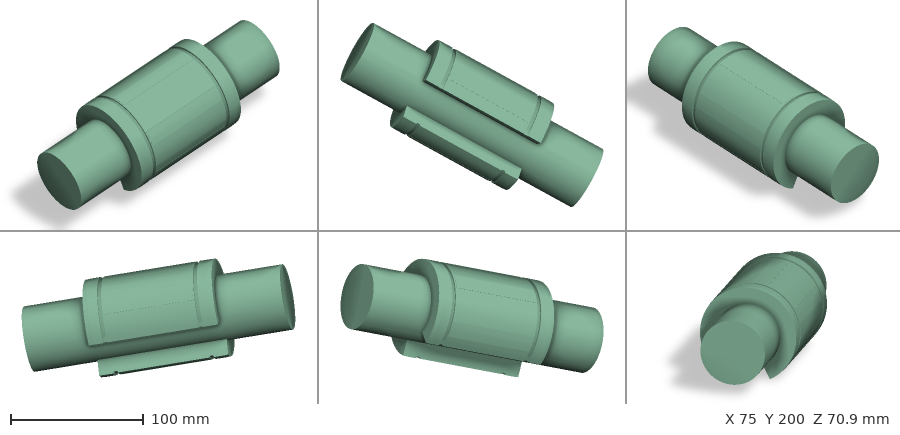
import cadquery as cq
import math

shaft_length = 200.0
shaft_radius = 50.0 / 2

sleeve_length = 100.0
sleeve_radius = 75.0 / 2
end_taper_length = 3.5
end_taper_depth = 0.2
opening_angle = 54.0

groove_offset = 11.5
groove_width = 3.0
groove_radius = 36.0

panel_height = 0.2
barrel_radius = sleeve_radius - panel_height
panel_length = 69.2
panel_angle = 18.5
panel_pitch = 60.0
first_panel_start = -120.0
panel_count = 5


def cylinder_along_y(radius, length):
    return cq.Workplane("XZ").circle(radius).extrude(length / 2, both=True)


def polar_point(radius, angle):
    """X, Z point at an angle in degrees from +Z, turning toward -X."""
    turn = math.radians(angle)
    return (-radius * math.sin(turn), radius * math.cos(turn))


def sector(start, sweep, length):
    """Wedge from the axis, reaching past the sleeve surface."""
    reach = 2 * sleeve_radius
    return (
        cq.Workplane("XZ")
        .moveTo(0, 0)
        .lineTo(*polar_point(reach, start))
        .threePointArc(polar_point(reach, start + sweep / 2), polar_point(reach, start + sweep))
        .close()
        .extrude(length / 2, both=True)
    )


def sleeve_blank():
    """Turned body with slightly tapered ends, two ring grooves and a lower barrel."""
    end = sleeve_length / 2
    groove_outer = end - groove_offset
    groove_inner = groove_outer - groove_width
    half_profile = [
        (sleeve_radius - end_taper_depth, end),
        (sleeve_radius, end - end_taper_length),
        (sleeve_radius, groove_outer),
        (groove_radius, groove_outer),
        (groove_radius, groove_inner),
        (barrel_radius, groove_inner),
    ]
    mirrored = [(radius, -y) for radius, y in reversed(half_profile)]
    profile = [(0, end)] + half_profile + mirrored + [(0, -end)]
    return cq.Workplane("XY").polyline(profile).close().revolve(360, (0, 0, 0), (0, 1, 0))


def raised_panel(start):
    outer = cylinder_along_y(sleeve_radius, panel_length)
    return outer.intersect(sector(start, panel_angle, panel_length))


sleeve = sleeve_blank()
for index in range(panel_count):
    sleeve = sleeve.union(raised_panel(first_panel_start + index * panel_pitch))

opening = sector(180 - opening_angle / 2, opening_angle, sleeve_length)
sleeve = sleeve.cut(opening)

result = sleeve.union(cylinder_along_y(shaft_radius, shaft_length))